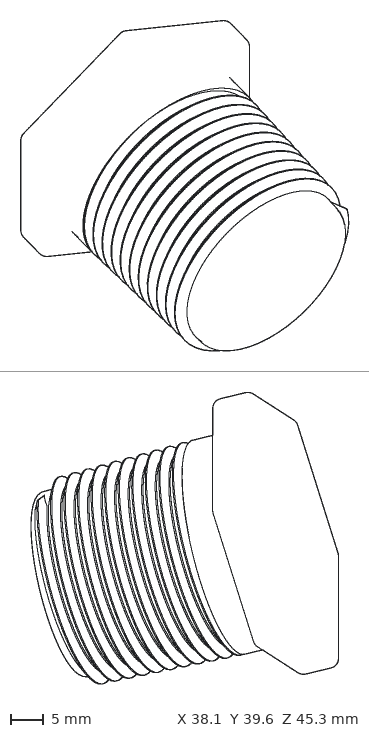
import math

import cadquery as cq

INCH = 25.4

total_length = 1.5 * INCH
head_thickness = 0.28 * INCH
collar_end = 0.5 * INCH

across_flats = 1.56 * INCH
head_edge_radius = 0.06 * INCH

collar_diameter = 1.32 * INCH
collar_fillet = 0.03 * INCH

thread_pitch = INCH / 11.5
taper = 1 / 32
taper_angle = math.degrees(math.atan(taper))
crest_rise = 0.02
crest_radius_at_collar = collar_diameter / 2 + crest_rise
crest_width = 0.2
root_width = 0.24
flank_half_angle = math.radians(30)
thread_depth = (thread_pitch - crest_width - root_width) / (2 * math.tan(flank_half_angle))
thread_end = 36.3
thread_turns = 11.25
thread_end_turn = 12
fade_angle = math.radians(17)
overlap = 0.1

nose_fillet = 0.03 * INCH


def crest_radius(x):
    """Radius of the thread crest at the position x."""
    return crest_radius_at_collar - taper * (x - collar_end)


def core_radius(x):
    """Radius of the tapered core at the position x."""
    return crest_radius(x) - thread_depth


def make_head():
    """Hexagon with two flats facing +Y and -Y and every edge rounded."""
    corner_diameter = across_flats / math.cos(math.pi / 6)
    return (
        cq.Workplane("YZ")
        .transformed(rotate=(0, 0, 90))
        .polygon(6, corner_diameter)
        .extrude(head_thickness)
        .edges()
        .fillet(head_edge_radius)
    )


def make_collar():
    """Cylinder flared by a fillet where it meets the head."""
    radius = collar_diameter / 2
    fillet_end = head_thickness + collar_fillet
    sag = collar_fillet * (1 - math.sqrt(0.5))
    return (
        cq.Workplane("XY")
        .moveTo(head_thickness / 2, 0)
        .lineTo(head_thickness / 2, radius + collar_fillet)
        .lineTo(head_thickness, radius + collar_fillet)
        .threePointArc((head_thickness + sag, radius + sag), (fillet_end, radius))
        .lineTo(collar_end, radius)
        .lineTo(collar_end, 0)
        .close()
        .revolve(360, (0, 0, 0), (1, 0, 0))
    )


def make_core():
    """Tapered core of the thread with a rounded nose."""
    start = collar_end - thread_pitch
    return (
        cq.Workplane("XY")
        .moveTo(start, 0)
        .lineTo(start, core_radius(start))
        .lineTo(total_length, core_radius(total_length))
        .lineTo(total_length, 0)
        .close()
        .revolve(360, (0, 0, 0), (1, 0, 0))
        .faces(">X")
        .edges()
        .fillet(nose_fillet)
    )


def ridge_profile():
    """Ridge section as (x, radius) corners at the end of the full thread."""
    base_half = crest_width / 2 + (thread_depth + overlap) * math.tan(flank_half_angle)
    base = core_radius(thread_end) - overlap
    crest = crest_radius(thread_end)
    return [
        (thread_end - base_half, base),
        (thread_end - crest_width / 2, crest),
        (thread_end + crest_width / 2, crest),
        (thread_end + base_half, base),
    ]


def corner_helix(x, radius):
    """Right-hand conical helix from +Y that widens toward the head, before the ridge is turned in place."""
    helix = cq.Wire.makeHelix(thread_pitch, thread_turns * thread_pitch, radius, angle=taper_angle)
    placement = cq.Plane(origin=(x, 0, 0), xDir=(0, 1, 0), normal=(-1, 0, 0))
    return helix.located(cq.Location(placement))


def polygon_face(corners):
    """Flat face with the given corners."""
    return cq.Face.makeFromWires(cq.Wire.makePolygon(corners, close=True))


def solid_from_faces(faces):
    """Solid enclosed by a closed set of faces."""
    return cq.Solid.makeSolid(cq.Shell.makeShell(faces))


def make_ridge():
    """Helical ridge with one ruled face between each pair of neighbouring corner helices."""
    helices = [corner_helix(x, radius) for x, radius in ridge_profile()]
    sides = [cq.Face.makeRuledSurface(helices[i - 1], helices[i]) for i in range(len(helices))]
    nose_end = polygon_face([helix.startPoint() for helix in helices])
    collar_side_end = polygon_face([helix.endPoint() for helix in helices])
    return cq.Workplane(obj=solid_from_faces(sides + [nose_end, collar_side_end]))


def make_fade():
    """Pyramid that runs the end of the ridge down to a point on the core."""
    tip_radius = core_radius(thread_end)
    tip = cq.Vector(thread_end, tip_radius * math.cos(fade_angle), tip_radius * math.sin(fade_angle))
    corners = [cq.Vector(x, radius, 0) for x, radius in ridge_profile()]
    sides = [polygon_face([corners[i - 1], corners[i], tip]) for i in range(len(corners))]
    return cq.Workplane(obj=solid_from_faces(sides + [polygon_face(corners)]))


def make_threaded_shank():
    """Core and thread ridge, trimmed flush with the end of the collar."""
    ridge = make_ridge().rotate((0, 0, 0), (1, 0, 0), thread_end_turn)
    fade = make_fade().rotate((0, 0, 0), (1, 0, 0), thread_end_turn)
    shank = make_core().union(ridge).union(fade)
    envelope = (
        cq.Workplane("YZ", origin=(collar_end, 0, 0))
        .circle(collar_diameter)
        .extrude(total_length)
    )
    return shank.intersect(envelope)


result = make_head().union(make_collar()).union(make_threaded_shank())